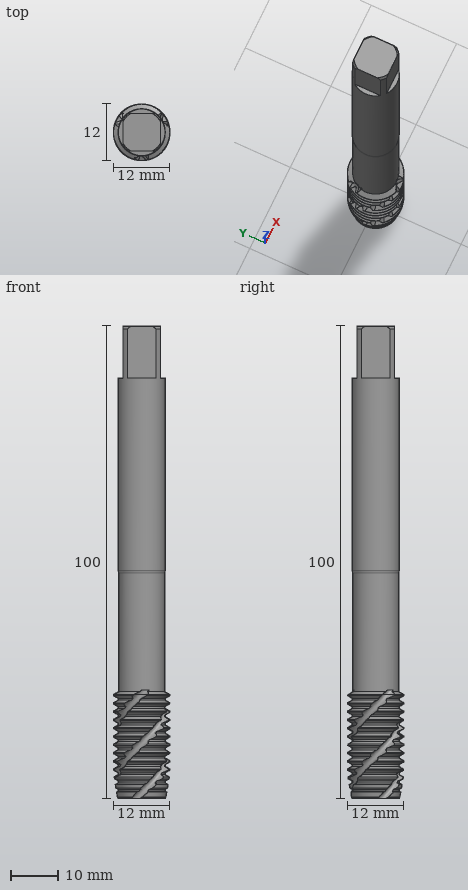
import math
import cadquery as cq

total_length = 100.0
thread_length = 22.0
shank_start = 48.0
square_length = 11.0
square_start = total_length - square_length

shank_radius = 5.0
neck_radius = 4.9
relief_length = 0.6
square_width = 8.0
end_chamfer_width = 0.4
end_chamfer_length = 0.6

thread_radius = 6.0
root_radius = 5.0
ring_count = 13
ring_span = 21.0
pitch = ring_span / (ring_count - 1)
flank_slope = math.tan(math.radians(30))
flank_height = (thread_radius - root_radius) * flank_slope
crest_width = pitch / 8

lead_length = 3 * pitch
tip_radius = 5.1

flute_count = 3
flute_lead = 2 * math.pi * root_radius
flute_radius = 1.5
flute_floor_radius = 4.6
flute_center_radius = flute_floor_radius + flute_radius
flute_start_angle = 256.0
flute_length = 23.0


def revolve_profile(points):
    """Revolve a closed (radius, height) outline about the Z axis."""
    return cq.Workplane("XZ").polyline(points).close().revolve(360, (0, 0, 0), (0, 1, 0))


def make_ring(crest_top):
    """One thread ring; its upper flank starts at the given height."""
    crest_bottom = crest_top - crest_width
    return revolve_profile([
        (0, crest_bottom - flank_height),
        (root_radius, crest_bottom - flank_height),
        (thread_radius, crest_bottom),
        (thread_radius, crest_top),
        (root_radius, crest_top + flank_height),
        (0, crest_top + flank_height),
    ])


def make_lead_envelope():
    """Solid of revolution bounding the thread, tapered toward the tip."""
    return revolve_profile([
        (0, 0),
        (tip_radius, 0),
        (thread_radius, lead_length),
        (thread_radius, thread_length),
        (0, thread_length),
    ])


def make_flute(index):
    """Right-hand helical cutter with a round section."""
    angle = math.radians(flute_start_angle + index * 360 / flute_count)
    center = (flute_center_radius * math.cos(angle), flute_center_radius * math.sin(angle))
    twist = 360 * flute_length / flute_lead
    return cq.Workplane("XY").pushPoints([center]).circle(flute_radius).twistExtrude(flute_length, twist)


def cut_flutes(body):
    for index in range(flute_count):
        body = body.cut(make_flute(index))
    return body


def make_round_shank():
    """Shank and neck, flaring at the bottom to meet the topmost thread crest."""
    flare_height = (thread_radius - neck_radius) * flank_slope
    return revolve_profile([
        (0, thread_length),
        (thread_radius, thread_length),
        (neck_radius, thread_length + flare_height),
        (neck_radius, shank_start - relief_length / 2),
        (shank_radius, shank_start + relief_length / 2),
        (shank_radius, total_length - end_chamfer_length),
        (shank_radius - end_chamfer_width, total_length),
        (0, total_length),
    ])


def make_square_cutter():
    """Material removed around the driving square."""
    blank_width = 3 * shank_radius
    return (
        cq.Workplane("XY", origin=(0, 0, square_start))
        .rect(blank_width, blank_width)
        .rect(square_width, square_width)
        .extrude(square_length)
    )


def make_shank():
    return cut_flutes(make_round_shank().cut(make_square_cutter()))


def make_thread():
    """Fluted cutting section with its stack of thread rings."""
    thread = cq.Workplane("XY").circle(root_radius).extrude(thread_length)
    for index in range(ring_count):
        thread = thread.union(make_ring(thread_length - index * pitch))
    return cut_flutes(thread.intersect(make_lead_envelope()))


shank = make_shank()
thread = make_thread()
result = cq.Compound.makeCompound([shank.solids().val(), thread.solids().val()])